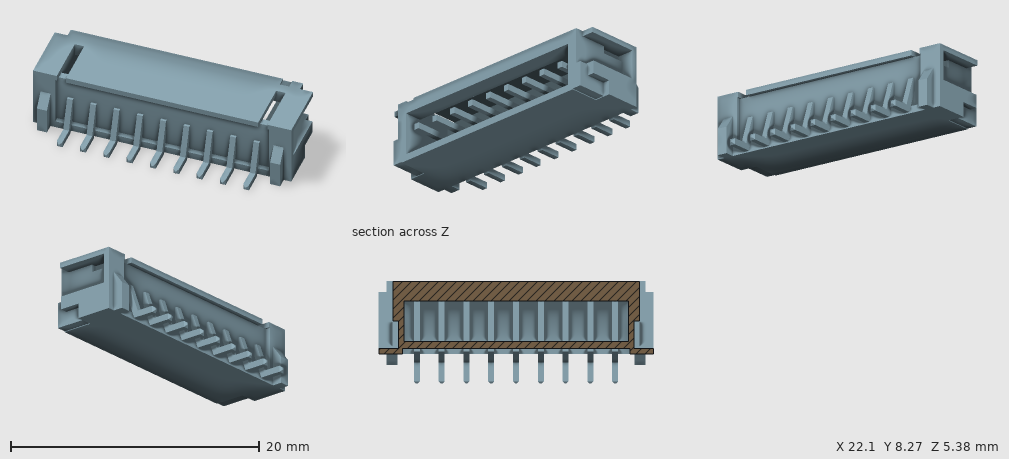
import cadquery as cq


length = 22.15
depth = 5.9
height = 5.38
roof = 0.47
roof_underside = height - roof
half_length = length / 2

recess_width = 18.35
recess_depth = 0.45
sill_height = 0.6

cavity_width = 18.07
cavity_front = 1.06
cavity_rear_top = 4.27

pocket_depth = 1.1
pocket_front = 0.49
pocket_floor = 2.4
roof_setback = 0.75
wall_setback = 0.86
foot_setback = 2.68
foot_height = 1.26
side_inset = 0.65
underside_gap = 0.07
relief_depth = 0.45
relief_rear = 2.68
relief_floor = 4.27

slot_outer = cavity_width / 2
slot_width = 0.8
slot_inner = slot_outer - slot_width
slot_end = 4.27
notch_depth = 0.15

tab_width = 0.86
tab_reach = 0.86
tab_top = 3.4
tab_shoulder = 2.25

pin_count = 9
pin_row = 16.0
pin_width = 0.49
pin_thickness = 0.53
pin_top = 3.08
pin_rear = 5.75
pin_bend = 0.22
foot_start = -0.66
foot_tip = -2.37
tip_chamfer = 0.18


def block(x_range, y_range, z_range):
    """Box spanning three (low, high) ranges."""
    spans = (x_range, y_range, z_range)
    sizes = [high - low for low, high in spans]
    corner = tuple(low for low, high in spans)
    return cq.Workplane("XY").box(*sizes, centered=False).translate(corner)


def both_ends(shape):
    """The shape together with its mirror image at the other end."""
    return shape.union(shape.mirror("YZ"))


def end_cuts():
    """Side pocket with its shallow relief, rear corner steps and roof slot of the +X end."""
    outer = half_length
    inset_face = outer - side_inset
    pocket_face = outer - pocket_depth
    pocket = block((pocket_face, outer), (pocket_front, depth), (pocket_floor, roof_underside))
    roof_corner = block((pocket_face, outer), (depth - roof_setback, depth), (roof_underside, height))
    tab_clearance = block((pocket_face, outer), (depth - wall_setback, depth), (tab_shoulder, pocket_floor))
    wall_step = block((inset_face, outer), (depth - wall_setback, depth), (0, tab_shoulder))
    foot_step = block((inset_face, outer), (depth - foot_setback, depth), (0, foot_height))
    underside = block((inset_face - tab_width, outer), (depth - foot_setback, depth), (0, underside_gap))
    relief = block(
        (pocket_face - relief_depth, outer),
        (pocket_front, relief_rear),
        (relief_floor, roof_underside),
    )
    roof_slot = block((slot_inner, slot_outer), (0, slot_end), (roof_underside, height))
    cuts = pocket.union(roof_corner)
    for cut in (tab_clearance, wall_step, foot_step, underside, relief, roof_slot):
        cuts = cuts.union(cut)
    return cuts


def housing():
    body = block((-half_length, half_length), (0, depth), (0, height))
    recess = block((-recess_width / 2, recess_width / 2), (0, recess_depth), (sill_height, roof_underside))
    cavity_sides = (-cavity_width / 2, cavity_width / 2)
    cavity = block(cavity_sides, (cavity_front, slot_end), (sill_height, roof_underside))
    mouth = block(cavity_sides, (slot_end, depth), (sill_height, cavity_rear_top))
    notch = block((slot_inner, slot_outer), (depth - roof_setback, depth), (height - notch_depth, height))
    return body.cut(recess).cut(cavity).cut(mouth).cut(notch).cut(both_ends(end_cuts()))


def solder_tab():
    """Tab on the front face of the +X end, sloping down to its shoulder."""
    outline = [(0, 0), (-tab_reach, 0), (-tab_reach, tab_shoulder), (0, tab_top)]
    tab = cq.Workplane("YZ").polyline(outline).close().extrude(tab_width)
    return tab.translate((half_length - side_inset - tab_width, 0, 0))


def pin():
    """Pin from the cavity, sloping down the front to a flat foot with a chamfered tip."""
    lean = (pin_bend - foot_start) / (pin_top - pin_thickness)
    slope_thickness = pin_thickness * (1 + lean**2) ** 0.5
    outline = [
        (pin_rear, pin_top),
        (pin_bend, pin_top),
        (foot_start, pin_thickness),
        (foot_tip, pin_thickness),
        (foot_tip, 0),
        (foot_start + slope_thickness - pin_thickness * lean, 0),
        (pin_bend + slope_thickness - pin_thickness * lean, pin_top - pin_thickness),
        (pin_rear, pin_top - pin_thickness),
    ]
    bar = cq.Workplane("YZ").polyline(outline).close().extrude(pin_width / 2, both=True)
    return bar.faces("<Y").edges().chamfer(tip_chamfer)


result = housing().union(both_ends(solder_tab()))
pin_pitch = pin_row / (pin_count - 1)
for index in range(pin_count):
    result = result.union(pin().translate((index * pin_pitch - pin_row / 2, 0, 0)))